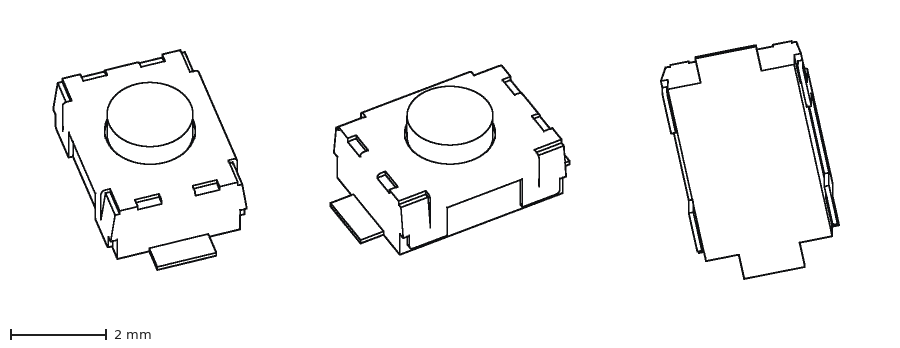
import cadquery as cq

lead_span = 5.0
body_length = 3.9
body_width = 2.7
cover_width = 3.0
cover_top = 1.5
button_top = 2.0

sheet = 0.1
bend_radius = 0.1
body_top = cover_top - sheet
skirt_top_length = 2.6
skirt_foot_length = 3.6
skirt_bottom = 0.2
skirt_corner_radius = 0.1
window_length = 1.8
window_top = 1.0
corner_cut_inner_y = 1.3

tab_width = 0.74
notch_length = 0.2
notch_outer_y = 0.9

wedge_bottom = 0.6
wedge_top_y = cover_width / 2 - sheet

lead_width = 1.3
lead_thickness = 0.1
button_diameter = 1.8
button_hole_diameter = 1.9


def block(length, width, z_low, z_high, x=0, y=0):
    """Box centred at (x, y) between two heights."""
    box = cq.Workplane("XY").box(length, width, z_high - z_low, centered=(True, True, False))
    return box.translate((x, y, z_low))


def make_skirt():
    """Front cover wall with two rounded feet either side of a window."""
    wall_y = -(cover_width - sheet) / 2
    foot = block(skirt_foot_length, sheet, skirt_bottom, wedge_bottom, y=wall_y)
    foot = foot.edges("|Y and <Z").fillet(skirt_corner_radius)
    upper = block(skirt_top_length, sheet, wedge_bottom, body_top, y=wall_y)
    window = block(window_length, sheet, skirt_bottom, window_top, y=wall_y)
    return foot.union(upper).cut(window)


def make_cover_plate():
    """Flat cover top with its long edges bent, corners cut and end notches."""
    plate = block(body_length, cover_width, body_top, cover_top)

    corner_length = (body_length - skirt_top_length) / 2
    corner_width = cover_width / 2 - corner_cut_inner_y
    notch_width = notch_outer_y - tab_width / 2
    for x_side in (-1, 1):
        for y_side in (-1, 1):
            corner_x = x_side * (body_length - corner_length) / 2
            corner_y = y_side * (cover_width - corner_width) / 2
            plate = plate.cut(block(corner_length, corner_width, body_top, cover_top, corner_x, corner_y))
            notch_x = x_side * (body_length - notch_length) / 2
            notch_y = y_side * (notch_outer_y + tab_width / 2) / 2
            plate = plate.cut(block(notch_length, notch_width, body_top, cover_top, notch_x, notch_y))
    return plate.cut(cq.Workplane("XY").circle(button_hole_diameter / 2).extrude(cover_top))


def make_bend_profile():
    """Envelope that rounds the long cover edges."""
    envelope = block(body_length, cover_width, 0, cover_top)
    return envelope.edges("|X and >Z").fillet(bend_radius)


def make_tab_profile():
    """Envelope that rounds the outer edges of the two end tabs."""
    envelope = block(body_length, tab_width, 0, cover_top)
    return envelope.edges("|Y and >Z").fillet(bend_radius)


def make_wedges():
    """Wedges on the front wall, filling the corners beside the skirt."""
    profile = [
        (-body_width / 2, wedge_bottom),
        (-cover_width / 2, wedge_bottom),
        (-wedge_top_y, body_top),
        (-body_width / 2, body_top),
    ]
    bar = cq.Workplane("YZ").polyline(profile).close().extrude(body_length / 2, both=True)
    return bar.cut(block(skirt_top_length, cover_width, 0, cover_top))


plate = make_cover_plate().intersect(make_bend_profile())
tab_zone = block(body_length, tab_width, body_top, cover_top)
plate = plate.cut(tab_zone).union(plate.intersect(make_tab_profile()))

body = block(body_length, body_width, 0, body_top)
leads = block(lead_span, lead_width, 0, lead_thickness)
button = cq.Workplane("XY").circle(button_diameter / 2).extrude(button_top)
front_wall = make_skirt().union(make_wedges())

result = body.union(leads).union(plate).union(button)
result = result.union(front_wall).union(front_wall.mirror("XZ"))